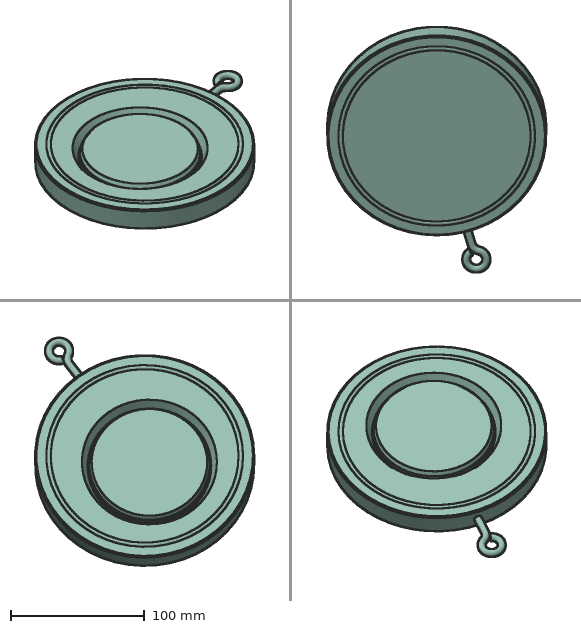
import cadquery as cq
import math

DISC_DIAMETER = 164.0
TOTAL_HEIGHT = 19.8
RING_PROJECTION = 0.9
DISC_HEIGHT = TOTAL_HEIGHT - 2 * RING_PROJECTION
EDGE_CHAMFER = 1.0

RING_DIAMETER = 143.8
RING_TUBE_RADIUS = 2.0

RECESS_OFFSET_Y = -6.0
RECESS_TOP_DIAMETER = 101.0
RECESS_FLOOR_DIAMETER = 92.5
RECESS_DEPTH = 8.0
PLUG_DIAMETER = 90.0
PLUG_TOP_DIAMETER = 86.5
PLUG_TOP_DEPTH = 0.6
PLUG_TAPER_HEIGHT = 3.6

ROD_DIAMETER = 6.0
EYE_RADIUS = 7.57
EYE_TIP_Y = 202.0 - DISC_DIAMETER / 2
EYE_CENTRE_Y = EYE_TIP_Y - EYE_RADIUS - ROD_DIAMETER / 2
EYE_START_ANGLE = -60.0
EYE_END_ANGLE = 255.0
ROD_EMBED = 6.0

TOP_Z = DISC_HEIGHT / 2


def make_disc():
    disc = cq.Workplane("XY").cylinder(DISC_HEIGHT, DISC_DIAMETER / 2)
    return disc.faces("|Z").edges().chamfer(EDGE_CHAMFER)


def make_seal_ring(side):
    """Torus sunk into the face on the given side (+1 top, -1 bottom)."""
    centre_z = side * (TOP_Z + RING_PROJECTION - RING_TUBE_RADIUS)
    ring = cq.Solid.makeTorus(RING_DIAMETER / 2, RING_TUBE_RADIUS)
    return cq.Workplane(ring).translate((0, 0, centre_z))


def make_recess():
    """Ring-shaped cutter between the recess wall and the plug, including the gap above the plug."""
    floor_z = TOP_Z - RECESS_DEPTH
    plug_top_z = TOP_Z - PLUG_TOP_DEPTH
    profile = [
        (0, TOP_Z),
        (RECESS_TOP_DIAMETER / 2, TOP_Z),
        (RECESS_FLOOR_DIAMETER / 2, floor_z),
        (PLUG_DIAMETER / 2, floor_z),
        (PLUG_DIAMETER / 2, plug_top_z - PLUG_TAPER_HEIGHT),
        (PLUG_TOP_DIAMETER / 2, plug_top_z),
        (0, plug_top_z),
    ]
    cutter = cq.Workplane("XZ").polyline(profile).close().revolve(360, (0, 0, 0), (0, 1, 0))
    return cutter.translate((0, RECESS_OFFSET_Y, 0))


def eye_point(angle):
    """Point on the centreline of the eye at an angle measured from +X."""
    turn = math.radians(angle)
    return (EYE_RADIUS * math.cos(turn), EYE_CENTRE_Y + EYE_RADIUS * math.sin(turn))


def make_eye_hook():
    """Straight rod, a sideways bend, then an open eye that closes back against the bend."""
    join = eye_point(EYE_START_ANGLE)
    bend_radius = EYE_RADIUS
    bend_start_y = 2 * join[1] - EYE_CENTRE_Y
    bend_half_angle = math.radians((180 + 2 * EYE_START_ANGLE) / 2)
    bend_mid = (
        bend_radius * (1 - math.cos(bend_half_angle)),
        bend_start_y + bend_radius * math.sin(bend_half_angle),
    )
    rod_start_y = DISC_DIAMETER / 2 - ROD_EMBED
    path = (
        cq.Workplane("XY")
        .moveTo(0, rod_start_y)
        .lineTo(0, bend_start_y)
        .threePointArc(bend_mid, join)
        .threePointArc(eye_point((EYE_START_ANGLE + EYE_END_ANGLE) / 2), eye_point(EYE_END_ANGLE))
    )
    section = cq.Workplane("XZ", origin=(0, rod_start_y, 0)).circle(ROD_DIAMETER / 2)
    return section.sweep(path)


result = make_disc().cut(make_recess())
for face_side in (1, -1):
    result = result.union(make_seal_ring(face_side))
result = result.union(make_eye_hook())